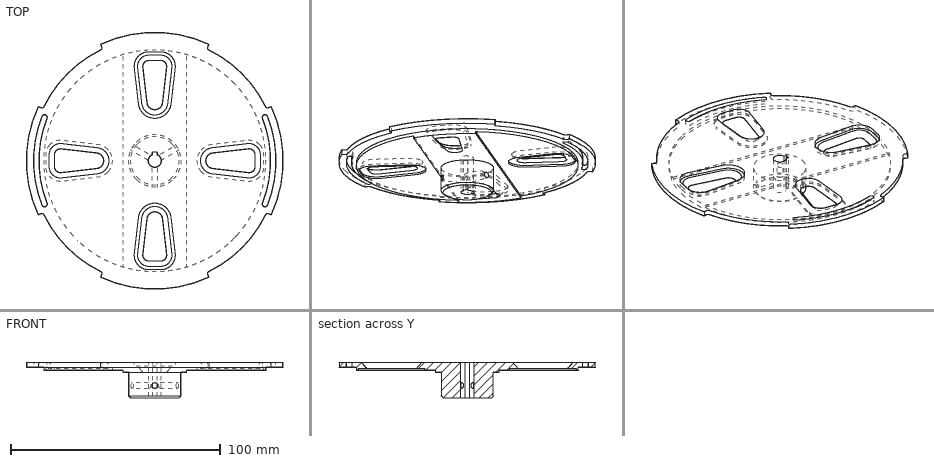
import cadquery as cq
import math

tab_radius = 61.1
rim_radius = 58.7
plate_thickness = 2.3
step_radius = 52.8
step_bottom = 3.8
bar_half_width = 15.2
bar_bottom = 4.8
part_height = 17.0
cut_clearance = 1.2

hub_radius = 12.5
hub_chamfer = 1.0
bore_radius = 3.0
keyway_width = 2.2
keyway_reach = 4.2
screw_hole_radius = 1.3
screw_hole_depth = 11.0
screw_hole_angles = (30, 150, 270)

tab_angle = 50.0
notch_fillet = 1.1
tab_count = 4

slot_radius = 56.4
slot_width = 2.5
slot_half_angle = 21.5

window_inner_center = 28.0
window_inner_radius = 3.7
window_outer_center = 44.9
window_corner_offset = 2.8
window_corner_radius = 2.8
window_flare = 2.6
flare_depth = 2.9
recess_growth = 4.2


def polar(radius, degrees):
    angle = math.radians(degrees)
    return (radius * math.cos(angle), radius * math.sin(angle))


def disc(radius, top, bottom):
    return cq.Workplane("XY").workplane(offset=-bottom).circle(radius).extrude(bottom - top)


def turned(shape, degrees):
    return shape.rotate((0, 0, 0), (0, 0, 1), degrees)


def make_plate():
    """Round plate whose rim is cut back between the four tabs."""
    plate = disc(tab_radius, 0, plate_thickness)
    half_gap = (360 / tab_count - tab_angle) / 2
    clear_radius = tab_radius + cut_clearance
    notch = (
        cq.Workplane("XY")
        .workplane(offset=-plate_thickness)
        .moveTo(*polar(rim_radius, -half_gap))
        .threePointArc((rim_radius, 0), polar(rim_radius, half_gap))
        .lineTo(*polar(clear_radius, half_gap))
        .threePointArc((clear_radius, 0), polar(clear_radius, -half_gap))
        .close()
        .extrude(plate_thickness)
    )
    notch = notch.edges("|Z").edges("<X").fillet(notch_fillet)
    for index in range(tab_count):
        direction = (index + 0.5) * 360 / tab_count
        plate = plate.cut(turned(notch, direction))
    return plate


def make_underside():
    """Stepped disc with a raised bar along Y, and the chamfered hub."""
    step = disc(step_radius, plate_thickness, step_bottom)
    bar = disc(step_radius, plate_thickness, bar_bottom).intersect(
        cq.Workplane("XY").box(2 * bar_half_width, 2 * step_radius, 2 * bar_bottom)
    )
    hub = disc(hub_radius, plate_thickness, part_height).faces("<Z").chamfer(hub_chamfer)
    return step.union(bar).union(hub)


def window_outline(growth, depth):
    """Closed teardrop along +X, grown outward by the given amount."""
    inner_radius = window_inner_radius + growth
    corner_radius = window_corner_radius + growth
    run = window_outer_center - window_inner_center
    rise = window_corner_offset
    center_distance = math.hypot(run, rise)
    normal = math.degrees(
        math.atan2(rise, run) + math.acos((inner_radius - corner_radius) / center_distance)
    )

    def on_inner(degrees):
        x, y = polar(inner_radius, degrees)
        return (window_inner_center + x, y)

    def on_corner(side, degrees):
        x, y = polar(corner_radius, degrees)
        return (window_outer_center + x, side * (window_corner_offset + y))

    return (
        cq.Workplane("XY")
        .workplane(offset=-depth)
        .moveTo(*on_inner(normal))
        .threePointArc(on_inner(180), on_inner(-normal))
        .lineTo(*on_corner(-1, normal))
        .threePointArc(on_corner(-1, normal / 2), on_corner(-1, 0))
        .lineTo(*on_corner(1, 0))
        .threePointArc(on_corner(1, normal / 2), on_corner(1, normal))
        .close()
    )


def make_flare(top):
    """Flared opening that narrows from the given depth downward."""
    wide = window_outline(window_flare, top).val()
    narrow = window_outline(0, top + flare_depth).val()
    return cq.Workplane(cq.Solid.makeLoft([wide, narrow], True))


def make_recess(top, bottom):
    """Straight-walled clearance around the flared opening."""
    return window_outline(recess_growth, bottom).extrude(bottom - top)


def make_slot():
    """Round-ended slot that follows the rim, centered on +X."""
    inner = slot_radius - slot_width / 2
    outer = slot_radius + slot_width / 2
    end = slot_half_angle
    return (
        cq.Workplane("XY")
        .workplane(offset=-plate_thickness)
        .moveTo(*polar(inner, -end))
        .threePointArc((inner, 0), polar(inner, end))
        .tangentArcPoint(polar(outer, end), relative=False)
        .threePointArc((outer, 0), polar(outer, -end))
        .tangentArcPoint(polar(inner, -end), relative=False)
        .close()
        .extrude(plate_thickness)
    )


def make_bore():
    """Keyed through bore with its keyway toward +Y."""
    keyway = (
        cq.Workplane("XY")
        .workplane(offset=-part_height)
        .center(0, keyway_reach / 2)
        .rect(keyway_width, keyway_reach)
        .extrude(part_height)
    )
    return disc(bore_radius, 0, part_height).union(keyway)


def make_screw_hole():
    """Radial hole along +X from the bore to the outside of the hub."""
    return (
        cq.Workplane("YZ")
        .center(0, -screw_hole_depth)
        .circle(screw_hole_radius)
        .extrude(hub_radius + cut_clearance)
    )


result = make_plate().union(make_underside())

recess_above_depth = bar_bottom - flare_depth
x_window = make_flare(0).union(make_recess(flare_depth, step_bottom))
y_window = make_flare(recess_above_depth).union(make_recess(0, recess_above_depth))
for angle in (0, 180):
    result = result.cut(turned(x_window, angle))
    result = result.cut(turned(y_window, angle + 90))
    result = result.cut(turned(make_slot(), angle))

result = result.cut(make_bore())
for angle in screw_hole_angles:
    result = result.cut(turned(make_screw_hole(), angle))